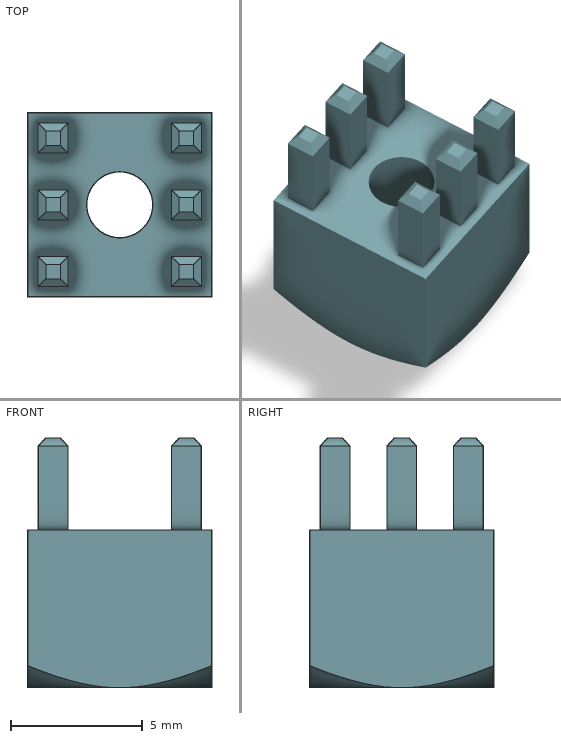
import cadquery as cq
import math

total_height = 9.5
body_width = 7.0
body_height = 6.0
hole_diameter = 2.5
corner_bevel_angle = 30.0

pin_pitch = 2.54
pin_width = 1.14
pin_tip_width = 0.55
pin_tip_height = 0.31
pin_columns = (-1, 1)
pin_rows = (-1, 0, 1)


def make_body():
    """Square block whose lower corners are turned off by a cone touching the side midpoints."""
    inner_radius = body_width / 2
    corner_radius = inner_radius * math.sqrt(2)
    bevel_height = (corner_radius - inner_radius) * math.tan(math.radians(corner_bevel_angle))
    block = cq.Workplane("XY").rect(body_width, body_width).extrude(body_height)
    turned_envelope = (
        cq.Workplane("XZ")
        .moveTo(0, 0)
        .lineTo(inner_radius, 0)
        .lineTo(corner_radius, bevel_height)
        .lineTo(corner_radius, body_height)
        .lineTo(0, body_height)
        .close()
        .revolve(360, (0, 0, 0), (0, 1, 0))
    )
    hole = cq.Workplane("XY").circle(hole_diameter / 2).extrude(body_height)
    return block.intersect(turned_envelope).cut(hole)


def make_pin(x, y):
    """Square pin standing on the body, ending in a truncated pyramid."""
    shank_height = total_height - body_height - pin_tip_height
    shank = (
        cq.Workplane("XY", origin=(x, y, body_height))
        .rect(pin_width, pin_width)
        .extrude(shank_height)
    )
    tip = (
        cq.Workplane("XY", origin=(x, y, body_height + shank_height))
        .rect(pin_width, pin_width)
        .workplane(offset=pin_tip_height)
        .rect(pin_tip_width, pin_tip_width)
        .loft(ruled=True)
    )
    return shank.union(tip)


result = make_body()
for column in pin_columns:
    for row in pin_rows:
        result = result.union(make_pin(column * pin_pitch, row * pin_pitch))